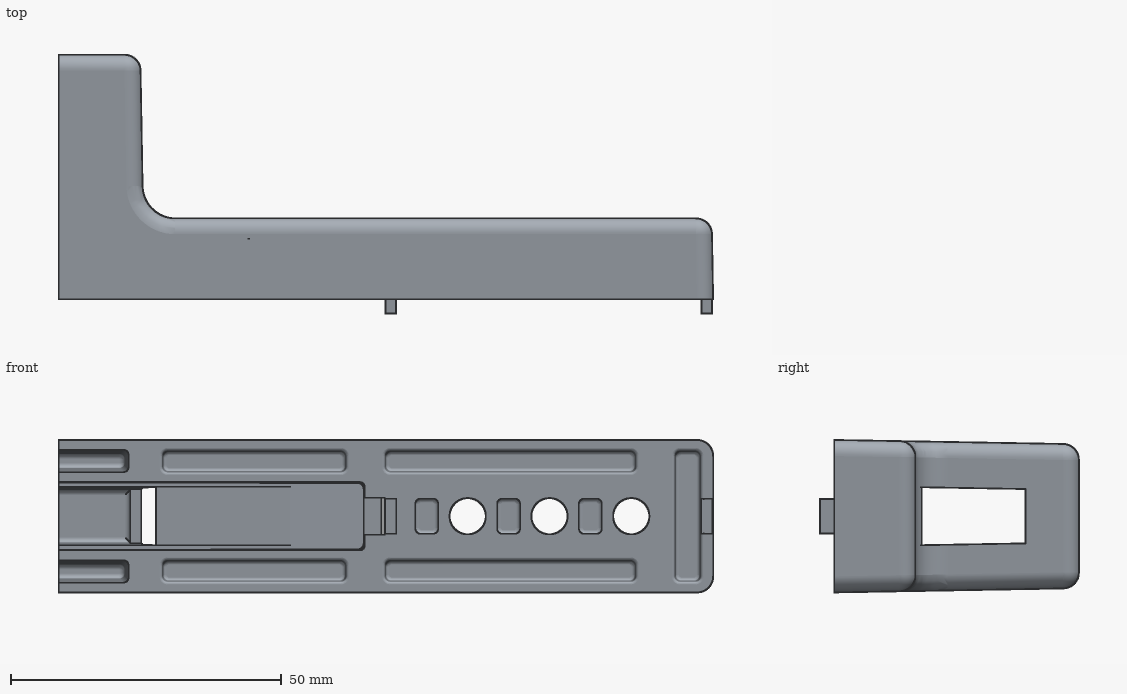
import cadquery as cq
import math

LENGTH = 120.84
HEIGHT = 28.2
LEG_DEPTH = 45.2
DRAFT = 1.0
DRAFT_SLOPE = math.tan(math.radians(DRAFT))

ARM_DEPTH = 15.0
LEG_TIP_WIDTH = 15.08
ELBOW_RADIUS = 6.0
EDGE_RADIUS = 3.0
SKIN = 2.0

POCKET_CORNER_RADIUS = 1.0
POCKET_FLOOR_RADIUS = 0.6
POCKET_MOUTH_RADIUS = 0.5
POCKET_DEPTH = ARM_DEPTH - SKIN
SLOT_Z = 10.1
SLOT_HEIGHT = 5.0
SLOT_SPANS = [(18.6, 53.6), (59.7, 107.1)]
END_POCKET_SPAN = (113.2, 119.05)

LEG_SLOT_Z = 10.2
LEG_SLOT_HEIGHT = 4.1
LEG_SLOT_LENGTH = 12.9
LEG_SLOT_RADIUS = 0.95
LEG_CAVITY_DEPTH = LEG_DEPTH - SKIN

HOLE_COUNT = 3
HOLE_PITCH = 15.1
FIRST_HOLE_X = 75.5
HOLE_DIAMETER = 6.75
SMALL_POCKET_WIDTH = 4.25
SMALL_POCKET_HEIGHT = 6.5
SMALL_POCKET_DEPTH = 2.35
SMALL_POCKET_CORNER_RADIUS = 1.0
SMALL_POCKET_FLOOR_RADIUS = 0.7
FRONT_WALL = 3.1
RECESS_MARGIN = 0.2
RECESS_RADIUS = 1.0

CHANNEL_LENGTH = 56.5
CHANNEL_HEIGHT = 12.66
CHANNEL_START_DEPTH = 7.6
CHANNEL_CORNER_RADIUS = 1.0

CAVITY_HEIGHT = 10.8
CAVITY_FLOOR_DEPTH = 12.0
CAVITY_WIDTH_IN_LEG = 13.2
CAVITY_RADIUS = 1.0
WINDOW_EDGE_X = 17.95
WINDOW_TOP_Y = 35.3

CAVITY_LENGTH = 42.7
CHANNEL_SLOPE = (CAVITY_FLOOR_DEPTH - CHANNEL_START_DEPTH) / CAVITY_LENGTH
CHANNEL_END_DEPTH = CHANNEL_START_DEPTH + CHANNEL_SLOPE * CHANNEL_LENGTH

CATCH_HEIGHT = 6.9
CATCH_DEPTH = 11.6
CATCH_END_X = 60.1
UNDERCUT_START_X = 59.6
UNDERCUT_END_X = 63.2
UNDERCUT_HEIGHT = 6.8
UNDERCUT_FRONT_Y = 2.9

TAB_REACH = 2.63
TAB_WIDTH = 2.0
TAB_HEIGHT = 6.4
TAB_START_XS = [60.3, 118.65]


def box(x_min, x_max, y_min, y_max, height):
    """Box centred on Z = 0."""
    size_x = x_max - x_min
    size_y = y_max - y_min
    block = cq.Workplane("XY").box(size_x, size_y, height, centered=(False, False, True))
    return block.translate((x_min, y_min, 0))


def tapered_block(x_min, x_max, z_mid, height, y_start, depth):
    """Block running toward +Y from y_start and narrowing by the draft angle."""
    origin = ((x_min + x_max) / 2, y_start, z_mid)
    base = cq.Plane(origin=origin, xDir=(1, 0, 0), normal=(0, 1, 0))
    return cq.Workplane(base).rect(x_max - x_min, height).extrude(depth, taper=DRAFT)


def pocket(x_min, x_max, z_mid, height, depth, corner_radius, floor_radius):
    """Tapered pocket with rounded corners and a rounded floor edge."""
    block = tapered_block(x_min, x_max, z_mid, height, 0, depth)
    return block.edges("not(<Y or >Y)").fillet(corner_radius).faces(">Y").edges().fillet(floor_radius)


def cut_rounded_pocket(part, x_min, x_max, z_mid, height):
    """Cut an arm pocket and round its mouth out to the given size."""
    cutter = pocket(
        x_min + POCKET_MOUTH_RADIUS,
        x_max - POCKET_MOUTH_RADIUS,
        z_mid,
        height - 2 * POCKET_MOUTH_RADIUS,
        POCKET_DEPTH,
        POCKET_CORNER_RADIUS,
        POCKET_FLOOR_RADIUS,
    )
    z_low = z_mid - height / 2
    z_high = z_mid + height / 2
    mouth = cq.selectors.BoxSelector(
        (x_min, -POCKET_MOUTH_RADIUS, z_low), (x_max, POCKET_MOUTH_RADIUS, z_high)
    )
    return part.cut(cutter).edges(mouth).fillet(POCKET_MOUTH_RADIUS)


def plan_prism(points):
    """Outline in the XY plane, extruded over the full height."""
    return cq.Workplane("XY").polyline(points).close().extrude(HEIGHT / 2, both=True)


def make_body():
    leg_root_width = LEG_TIP_WIDTH + (LEG_DEPTH - ARM_DEPTH) * DRAFT_SLOPE
    elbow = (leg_root_width, ARM_DEPTH)
    space_beside_leg = plan_prism(
        [elbow, (LENGTH, ARM_DEPTH), (LENGTH, LEG_DEPTH), (LEG_TIP_WIDTH, LEG_DEPTH)]
    )
    elbow_edge = cq.NearestToPointSelector((*elbow, 0))
    space_beside_leg = space_beside_leg.edges(elbow_edge).fillet(ELBOW_RADIUS)

    body = tapered_block(-LENGTH, LENGTH, 0, HEIGHT, 0, LEG_DEPTH)
    body = body.intersect(box(0, LENGTH, 0, LEG_DEPTH, HEIGHT)).cut(space_beside_leg)

    sharp = body.faces("<X or <Y").edges().vals()
    rounded = [edge for edge in body.edges().vals() if not any(edge.isSame(other) for other in sharp)]
    return body.newObject(rounded).fillet(EDGE_RADIUS)


def make_cavity():
    reach = WINDOW_EDGE_X * 2
    drafted_depth = LEG_CAVITY_DEPTH - CAVITY_FLOOR_DEPTH
    upper = tapered_block(-reach, reach, 0, CAVITY_HEIGHT, CAVITY_FLOOR_DEPTH, drafted_depth)
    in_leg = box(-CAVITY_WIDTH_IN_LEG, CAVITY_WIDTH_IN_LEG, 0, LEG_DEPTH, HEIGHT)
    leg_part = upper.intersect(in_leg).edges(">Y").fillet(CAVITY_RADIUS)
    window = upper.intersect(box(0, WINDOW_EDGE_X, 0, WINDOW_TOP_Y, HEIGHT))
    lower = box(0, CAVITY_LENGTH, 0, CAVITY_FLOOR_DEPTH, CAVITY_HEIGHT)
    return leg_part.union(window).union(lower)


def make_channel():
    block = tapered_block(-CHANNEL_LENGTH, CHANNEL_LENGTH, 0, CHANNEL_HEIGHT, 0, ARM_DEPTH)
    block = block.edges("not(<Y or >Y)").fillet(CHANNEL_CORNER_RADIUS)
    sloping_floor = plan_prism(
        [(0, 0), (CHANNEL_LENGTH, 0), (CHANNEL_LENGTH, CHANNEL_END_DEPTH), (0, CHANNEL_START_DEPTH)]
    )
    return block.intersect(sloping_floor)


def make_catch():
    overlap_x = CHANNEL_LENGTH - CHANNEL_CORNER_RADIUS
    opening = box(overlap_x, UNDERCUT_START_X, 0, CATCH_DEPTH, CATCH_HEIGHT)
    gap = box(UNDERCUT_START_X, CATCH_END_X, 0, UNDERCUT_FRONT_Y, CATCH_HEIGHT)
    undercut = box(UNDERCUT_START_X, UNDERCUT_END_X, UNDERCUT_FRONT_Y, ARM_DEPTH, UNDERCUT_HEIGHT)
    return opening.union(gap).union(undercut)


def cut_slots(part):
    for side in (-1, 1):
        for x_min, x_max in SLOT_SPANS:
            part = cut_rounded_pocket(part, x_min, x_max, side * SLOT_Z, SLOT_HEIGHT)
        leg_slot = pocket(
            -LEG_SLOT_LENGTH,
            LEG_SLOT_LENGTH,
            side * LEG_SLOT_Z,
            LEG_SLOT_HEIGHT,
            LEG_CAVITY_DEPTH,
            LEG_SLOT_RADIUS,
            LEG_SLOT_RADIUS,
        )
        part = part.cut(leg_slot)
    end_pocket_height = 2 * SLOT_Z + SLOT_HEIGHT
    return cut_rounded_pocket(part, *END_POCKET_SPAN, 0, end_pocket_height)


def cut_hole_row(part):
    for index in range(HOLE_COUNT):
        hole_x = FIRST_HOLE_X + index * HOLE_PITCH
        pocket_x = hole_x - HOLE_PITCH / 2
        hole_plane = cq.Plane(origin=(hole_x, 0, 0), xDir=(1, 0, 0), normal=(0, 1, 0))
        hole = cq.Workplane(hole_plane).circle(HOLE_DIAMETER / 2).extrude(FRONT_WALL, taper=DRAFT)
        part = part.cut(hole)
        small_pocket = pocket(
            pocket_x - SMALL_POCKET_WIDTH / 2,
            pocket_x + SMALL_POCKET_WIDTH / 2,
            0,
            SMALL_POCKET_HEIGHT,
            SMALL_POCKET_DEPTH,
            SMALL_POCKET_CORNER_RADIUS,
            SMALL_POCKET_FLOOR_RADIUS,
        )
        part = part.cut(small_pocket)
    return part


def make_hole_recess():
    """Recess in the back of the arm that reaches just past the first and last holes."""
    half_height = HOLE_DIAMETER / 2 + RECESS_MARGIN
    x_min = FIRST_HOLE_X - half_height
    x_max = FIRST_HOLE_X + (HOLE_COUNT - 1) * HOLE_PITCH + half_height
    recess = box(x_min, x_max, FRONT_WALL, ARM_DEPTH, 2 * half_height)
    return recess.edges("|Y").fillet(RECESS_RADIUS)


def add_tabs(part):
    for x_start in TAB_START_XS:
        part = part.union(box(x_start, x_start + TAB_WIDTH, -TAB_REACH, 0, TAB_HEIGHT))
    return part


result = make_body().cut(make_cavity()).cut(make_channel()).cut(make_catch())
result = cut_slots(result)
result = cut_hole_row(result).cut(make_hole_recess())
result = add_tabs(result)